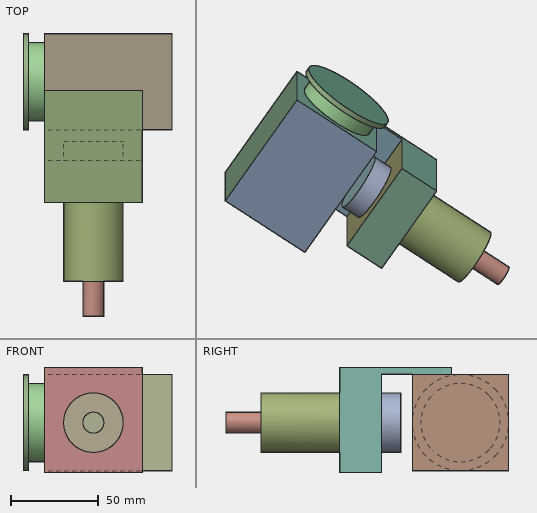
import cadquery as cq

BLOCK_LENGTH = 73.0
BLOCK_SIDE = 55.0

HUB_DIAMETER = 45.0
HUB_LENGTH = 9.0
FLANGE_DIAMETER = BLOCK_SIDE
FLANGE_THICKNESS = 3.0

BRACKET_WIDTH = 56.0
BRACKET_HEIGHT = 60.0
BRACKET_DEPTH = 64.0
PLATE_THICKNESS = 4.0
LEG_THICKNESS = 24.0
LEG_GAP = 17.5

SLEEVE_DIAMETER = 34.0
SLEEVE_LENGTH = 80.0
SLEEVE_OVERHANG = 45.0
PIN_DIAMETER = 12.0
PIN_LENGTH = 20.0

BLOCK_FRONT_Y = -BLOCK_SIDE / 2
BLOCK_TOP_Z = BLOCK_SIDE / 2
LEG_BACK_Y = BLOCK_FRONT_Y - LEG_GAP
LEG_FRONT_Y = LEG_BACK_Y - LEG_THICKNESS
SLEEVE_FRONT_Y = LEG_FRONT_Y - SLEEVE_OVERHANG
SPINDLE_X = BRACKET_WIDTH / 2


def make_block():
    return cq.Workplane("XY").box(BLOCK_LENGTH, BLOCK_SIDE, BLOCK_SIDE, centered=(False, True, True))


def make_flanged_hub():
    hub = cq.Workplane("YZ").circle(HUB_DIAMETER / 2).extrude(-HUB_LENGTH)
    flange = (
        cq.Workplane("YZ", origin=(-HUB_LENGTH, 0, 0))
        .circle(FLANGE_DIAMETER / 2)
        .extrude(-FLANGE_THICKNESS)
    )
    return hub.union(flange)


def make_bracket():
    plate_back_y = LEG_FRONT_Y + BRACKET_DEPTH
    top_z = BLOCK_TOP_Z + PLATE_THICKNESS
    bottom_z = top_z - BRACKET_HEIGHT
    profile = [
        (LEG_FRONT_Y, bottom_z),
        (LEG_BACK_Y, bottom_z),
        (LEG_BACK_Y, BLOCK_TOP_Z),
        (plate_back_y, BLOCK_TOP_Z),
        (plate_back_y, top_z),
        (LEG_FRONT_Y, top_z),
    ]
    return cq.Workplane("YZ").polyline(profile).close().extrude(BRACKET_WIDTH)


def spindle_section(diameter, front_y, length):
    """Cylinder on the spindle axis, running from front_y towards +Y."""
    plane = cq.Workplane("XZ", origin=(SPINDLE_X, front_y, 0))
    return plane.circle(diameter / 2).extrude(-length)


def make_spindle():
    sleeve = spindle_section(SLEEVE_DIAMETER, SLEEVE_FRONT_Y, SLEEVE_LENGTH)
    pin = spindle_section(PIN_DIAMETER, SLEEVE_FRONT_Y - PIN_LENGTH, PIN_LENGTH)
    return sleeve.union(pin)


result = make_block().union(make_flanged_hub()).union(make_bracket()).union(make_spindle())